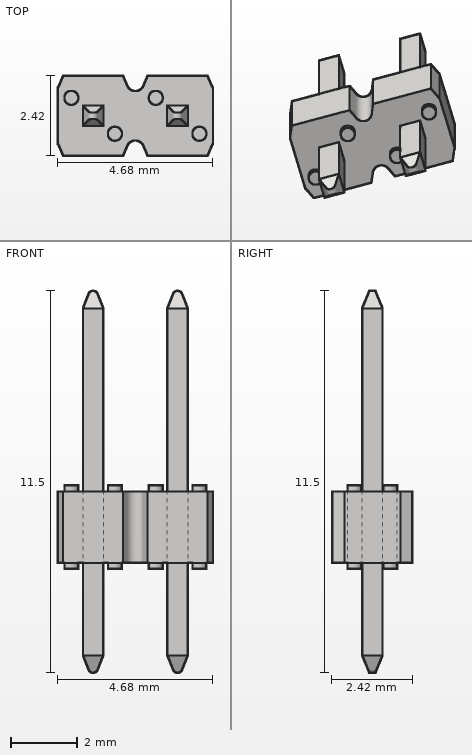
import cadquery as cq
import math


pitch = 2.54
pin_count = 2
housing_length = 4.68
housing_width = 2.42
housing_height = 2.15

notch_half_width = 0.37
notch_depth = 0.46
notch_arc_half_width = 0.23
notch_flank_depth = 0.32

peg_diameter = 0.43
peg_height = 0.18
peg_offset_x = 0.65
peg_offset_y = 0.54

pin_length = 11.5
pin_width = 0.62
pin_below = 3.31
tip_length = 0.53
tip_radius = 0.15
tip_flat = 0.18

pin_positions = [(i - (pin_count - 1) / 2) * pitch for i in range(pin_count)]
notch_positions = [(i - pin_count / 2) * pitch for i in range(pin_count + 1)]


def make_notch(x, side):
    """Full-height notch cutter at x, entering from the +Y (side 1) or -Y (side -1) face."""
    face_y = side * housing_width / 2
    flank_y = face_y - side * notch_flank_depth
    return (
        cq.Workplane("XY")
        .moveTo(x - notch_half_width, face_y)
        .lineTo(x - notch_arc_half_width, flank_y)
        .threePointArc((x, face_y - side * notch_depth), (x + notch_arc_half_width, flank_y))
        .lineTo(x + notch_half_width, face_y)
        .close()
        .extrude(housing_height)
    )


def tip_flank_end():
    """Point where a pin flank meets the round tip tangentially.

    Returned as (distance from the pin axis, distance back from the tip).
    """
    half = pin_width / 2
    centre = tip_length - tip_radius
    corner_angle = math.atan2(-centre, half)
    corner_distance = math.hypot(half, centre)
    angle = corner_angle + math.acos(tip_radius / corner_distance)
    return tip_radius * math.cos(angle), tip_radius * (1 - math.sin(angle))


def make_pin(x):
    """Square pin along Z with tapered ends, rounded in XZ and flat in YZ."""
    half = pin_width / 2
    bottom = -pin_below
    top = bottom + pin_length
    end_x, end_rise = tip_flank_end()

    rounded_outline = (
        cq.Workplane("XZ")
        .moveTo(-half, bottom + tip_length)
        .lineTo(-half, top - tip_length)
        .lineTo(-end_x, top - end_rise)
        .threePointArc((0, top), (end_x, top - end_rise))
        .lineTo(half, top - tip_length)
        .lineTo(half, bottom + tip_length)
        .lineTo(end_x, bottom + end_rise)
        .threePointArc((0, bottom), (-end_x, bottom + end_rise))
        .close()
        .extrude(half, both=True)
    )
    flat_outline = (
        cq.Workplane("YZ")
        .moveTo(-half, bottom + tip_length)
        .lineTo(-half, top - tip_length)
        .lineTo(-tip_flat / 2, top)
        .lineTo(tip_flat / 2, top)
        .lineTo(half, top - tip_length)
        .lineTo(half, bottom + tip_length)
        .lineTo(tip_flat / 2, bottom)
        .lineTo(-tip_flat / 2, bottom)
        .close()
        .extrude(half, both=True)
    )
    return rounded_outline.intersect(flat_outline).translate((x, 0, 0))


def make_housing():
    """Notched block with standoff pegs and a square through hole for each pin."""
    body = cq.Workplane("XY").box(
        housing_length, housing_width, housing_height, centered=(True, True, False)
    )
    for x in notch_positions:
        for side in (-1, 1):
            body = body.cut(make_notch(x, side))

    peg_centres = []
    for x in pin_positions:
        peg_centres.append((x - peg_offset_x, peg_offset_y))
        peg_centres.append((x + peg_offset_x, -peg_offset_y))
    pegs = (
        cq.Workplane("XY")
        .workplane(offset=-peg_height)
        .pushPoints(peg_centres)
        .circle(peg_diameter / 2)
        .extrude(housing_height + 2 * peg_height)
    )
    body = body.union(pegs)

    pin_holes = (
        cq.Workplane("XY")
        .pushPoints([(x, 0) for x in pin_positions])
        .rect(pin_width, pin_width)
        .extrude(housing_height)
    )
    return body.cut(pin_holes)


housing = make_housing()
pins = [make_pin(x) for x in pin_positions]

result = cq.Compound.makeCompound([housing.solids().val(), *[pin.solids().val() for pin in pins]])